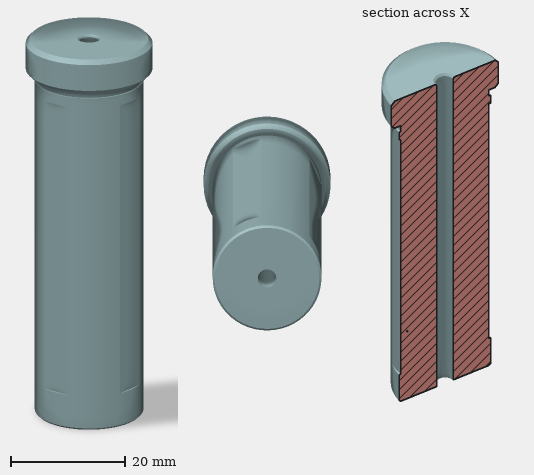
import cadquery as cq

total_length = 69.85
head_diameter = 22.225
head_height = 6.35
head_chamfer = 0.762
body_diameter = 19.05
body_bottom_chamfer = 0.381

neck_diameter = 18.288
neck_height = 1.27

flat_count = 4
flat_depth = 0.381
flat_bottom = 6.35
flat_top_below_head_face = 9.525

hole_diameter = 3.264
hole_chamfer = 0.381

head_bottom = total_length - head_height
body_top = head_bottom - neck_height
flat_length = total_length - flat_top_below_head_face - flat_bottom


def cylinder(diameter, bottom, height):
    return cq.Workplane("XY").workplane(offset=bottom).circle(diameter / 2).extrude(height)


def make_head():
    head = cylinder(head_diameter, head_bottom, head_height)
    return head.faces("<Z or >Z").edges().chamfer(head_chamfer)


def make_body():
    body = cylinder(body_diameter, 0, body_top)
    return body.faces("<Z").edges().chamfer(body_bottom_chamfer)


def make_flat_cutter(angle):
    """Block whose inner face lies on one flat; it reaches out past the body surface."""
    block_thickness = 2 * flat_depth
    block_center = body_diameter / 2 - flat_depth + block_thickness / 2
    block = (
        cq.Workplane("XY")
        .workplane(offset=flat_bottom)
        .center(block_center, 0)
        .rect(block_thickness, body_diameter)
        .extrude(flat_length)
    )
    return block.rotate((0, 0, 0), (0, 0, 1), angle)


def cut_flats(body):
    for index in range(flat_count):
        body = body.cut(make_flat_cutter(index * 360 / flat_count))
    return body


def cut_hole(part):
    part = part.cut(cylinder(hole_diameter, 0, total_length))
    mouth_edge = part.faces(">Z").edges(cq.selectors.RadiusNthSelector(0))
    return mouth_edge.chamfer(hole_chamfer)


neck = cylinder(neck_diameter, body_top, neck_height)
solid_plug = cut_flats(make_body()).union(neck).union(make_head())
result = cut_hole(solid_plug)